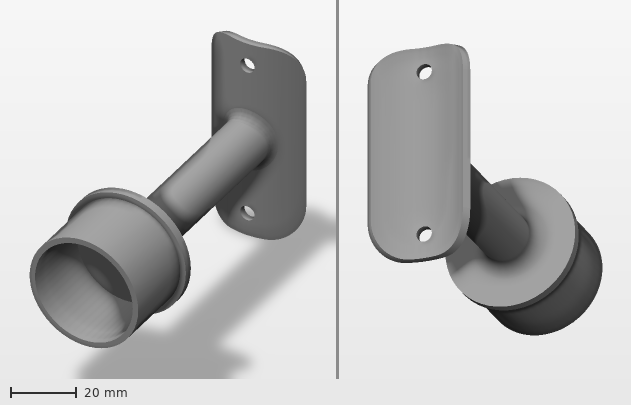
import cadquery as cq
import math

total_length = 106.2

plug_diameter = 38.3
plug_bore = 34.5
plug_length = 25.1
flange_diameter = 42.4
flange_thickness = 3.0

stem_diameter = 15.9
joint_margin = 1.1
joint_half_depth = 3.2
flange_fillet = 4.0
saddle_fillet = 3.0

saddle_inner_radius = 21.2
saddle_thickness = 2.4
saddle_half_angle = 45.0
saddle_height = 70.0
corner_radius = 12.0
screw_hole_diameter = 5.0
screw_hole_spacing = 54.0

saddle_outer_radius = saddle_inner_radius + saddle_thickness
flange_top = plug_length + flange_thickness
saddle_axis_y = total_length + saddle_inner_radius * math.cos(math.radians(saddle_half_angle))
saddle_back_y = saddle_axis_y - saddle_outer_radius


def cylinder_along_y(diameter, start, end):
    """Solid round bar on the Y axis between two Y positions."""
    return cq.Workplane("XZ", origin=(0, start, 0)).circle(diameter / 2).extrude(start - end)


def saddle_point(radius, angle):
    """Point in XY on the saddle's arc; angle is measured from the stem side."""
    turn = math.radians(angle)
    return (radius * math.sin(turn), saddle_axis_y - radius * math.cos(turn))


def rounded_tip_envelope():
    """Block ending flush with the +X tip face, its corners rounded square to that tip."""
    size = 2 * saddle_outer_radius
    return (
        cq.Workplane("XY")
        .box(size, 2 * size, saddle_height, centered=(False, True, True))
        .edges("|Y")
        .fillet(corner_radius)
        .translate((-size, 0, 0))
        .rotate((0, 0, 0), (0, 0, 1), saddle_half_angle)
        .translate((0, saddle_axis_y, 0))
    )


def saddle_plate():
    """Curved plate with its four corners rounded."""
    plate = (
        cq.Workplane("XY", origin=(0, 0, -saddle_height / 2))
        .moveTo(*saddle_point(saddle_inner_radius, -saddle_half_angle))
        .threePointArc(
            saddle_point(saddle_inner_radius, 0),
            saddle_point(saddle_inner_radius, saddle_half_angle),
        )
        .lineTo(*saddle_point(saddle_outer_radius, saddle_half_angle))
        .threePointArc(
            saddle_point(saddle_outer_radius, 0),
            saddle_point(saddle_outer_radius, -saddle_half_angle),
        )
        .close()
        .extrude(saddle_height)
    )
    envelope = rounded_tip_envelope()
    return plate.intersect(envelope).intersect(envelope.mirror("YZ"))


def stem():
    """Round stem, its far end trimmed to a curve midway through the plate."""
    bar = cylinder_along_y(stem_diameter, plug_length, saddle_axis_y)
    trim = (
        cq.Workplane("XY", origin=(0, saddle_axis_y, -stem_diameter))
        .circle(saddle_inner_radius + saddle_thickness / 2)
        .extrude(2 * stem_diameter)
    )
    return bar.cut(trim)


def joint_region(position):
    """Box around one end of the stem, used to pick the edges of that joint."""
    half_width = stem_diameter / 2 + joint_margin
    return cq.selectors.BoxSelector(
        (-half_width, position - joint_half_depth, -half_width),
        (half_width, position + joint_half_depth, half_width),
        boundingbox=True,
    )


def screw_holes():
    """Two cutters along Y, through the plate above and below the stem."""
    return (
        cq.Workplane("XZ", origin=(0, flange_top, 0))
        .pushPoints([(0, side * screw_hole_spacing / 2) for side in (-1, 1)])
        .circle(screw_hole_diameter / 2)
        .extrude(flange_top - total_length)
    )


flange = cylinder_along_y(flange_diameter, plug_length, flange_top)
plug = cylinder_along_y(plug_diameter, 0, plug_length)
bore = cylinder_along_y(plug_bore, 0, plug_length)

result = saddle_plate().union(stem()).union(flange)
result = result.edges(joint_region(saddle_back_y)).fillet(saddle_fillet)
result = result.edges(joint_region(flange_top)).edges("%CIRCLE").fillet(flange_fillet)
result = result.union(plug.cut(bore)).cut(screw_holes())